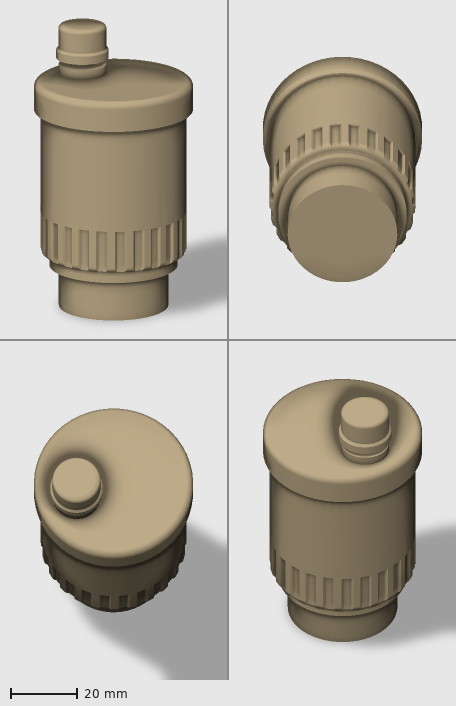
import cadquery as cq
import math

spigot_radius = 16.5
collar_radius = 19.35
barrel_radius = 21.9
lid_radius = 24.0

collar_bottom = 12.6
barrel_bottom = 16.5
lid_bottom = 60.55
lid_top = 70.7

collar_fillet = 0.5
barrel_fillet = 1.5
lid_chamfer = 1.0
lid_fillet = lid_radius - barrel_radius

groove_count = 24
groove_top = 29.5
groove_depth = 0.9
groove_floor_width = 2.2
groove_mouth_width = 3.5

valve_x = -12.1
valve_radius = 7.2
valve_stem_radius = 3.5
valve_flange_radius = 7.9

valve_base_top = 73.45
valve_flange_bottom = 75.5
valve_flange_edge = 78.1
valve_cap_bottom = 78.9
valve_top = 86.0

valve_crown_radius = 5.8
valve_crown_drop = 0.4
valve_cap_fillet = 1.0


def circle_edges_at(solid, radius, height):
    """Circular edges of a given radius centred at a given height."""
    tolerance = 0.01

    def matches(edge):
        if edge.geomType() != "CIRCLE":
            return False
        right_radius = abs(edge.radius() - radius) < tolerance
        return right_radius and abs(edge.Center().z - height) < tolerance

    return solid.edges().filter(matches)


def cylinder(radius, bottom, top):
    return cq.Workplane("XY").workplane(offset=bottom).circle(radius).extrude(top - bottom)


def make_barrel():
    """Spigot, collar and main barrel with their rounded corners."""
    barrel = (
        cylinder(spigot_radius, 0, collar_bottom)
        .union(cylinder(collar_radius, collar_bottom, barrel_bottom))
        .union(cylinder(barrel_radius, barrel_bottom, lid_bottom))
    )
    barrel = circle_edges_at(barrel, barrel_radius, barrel_bottom).fillet(barrel_fillet)
    return circle_edges_at(barrel, collar_radius, barrel_bottom).fillet(collar_fillet)


def make_groove():
    """Cutter for one trapezoidal groove, on the +X side of the barrel."""
    floor_x = barrel_radius - groove_depth
    mouth_x = math.sqrt(barrel_radius**2 - (groove_mouth_width / 2) ** 2)
    flank_slope = (groove_mouth_width - groove_floor_width) / 2 / (mouth_x - floor_x)
    outer_x = barrel_radius + groove_depth
    floor_y = groove_floor_width / 2
    outer_y = floor_y + flank_slope * (outer_x - floor_x)
    return (
        cq.Workplane("XY")
        .workplane(offset=barrel_bottom)
        .polyline([(floor_x, -floor_y), (outer_x, -outer_y), (outer_x, outer_y), (floor_x, floor_y)])
        .close()
        .extrude(groove_top - barrel_bottom)
    )


def make_lid():
    """Wide lid with a rounded top rim and a chamfered lower rim."""
    lid = cylinder(lid_radius, lid_bottom, lid_top)
    return lid.faces(">Z").edges().fillet(lid_fillet).faces("<Z").edges().chamfer(lid_chamfer)


def make_housing():
    housing = make_barrel()
    groove = make_groove()
    for index in range(groove_count):
        angle = index * 360 / groove_count
        housing = housing.cut(groove.rotate((0, 0, 0), (0, 0, 1), angle))
    return housing.union(make_lid())


def make_vent_valve():
    """Base, stem, flange and crowned cap, resting on the lid."""
    cap_corner_height = valve_top - valve_crown_drop
    profile = [
        (0, lid_top),
        (valve_radius, lid_top),
        (valve_radius, valve_base_top),
        (valve_stem_radius, valve_base_top),
        (valve_stem_radius, valve_flange_bottom),
        (valve_flange_radius, valve_flange_bottom),
        (valve_flange_radius, valve_flange_edge),
        (valve_radius, valve_cap_bottom),
        (valve_radius, cap_corner_height),
        (valve_crown_radius, valve_top),
        (0, valve_top),
    ]
    valve = cq.Workplane("XZ").polyline(profile).close().revolve(360, (0, 0, 0), (0, 1, 0))
    valve = circle_edges_at(valve, valve_radius, cap_corner_height).fillet(valve_cap_fillet)
    return valve.translate((valve_x, 0, 0))


housing = make_housing()
vent_valve = make_vent_valve()

result = cq.Compound.makeCompound([housing.val(), vent_valve.val()])